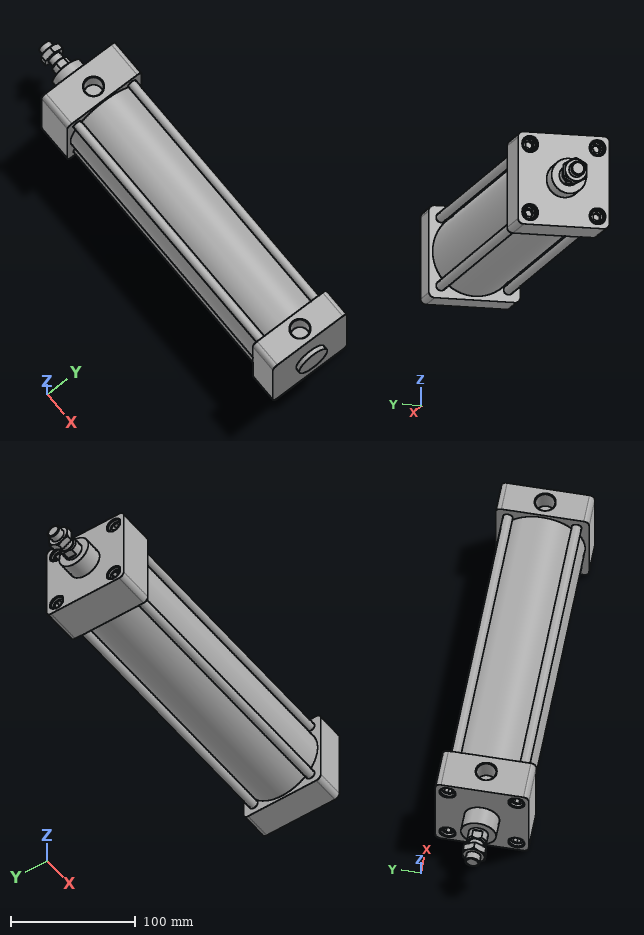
import cadquery as cq
import math


rod_tip_x = 0.0
overall_length = 346.0
shoulder_x = 19.0
front_boss_x = 28.5
front_cap_x = 44.0
front_cap_length = 33.5
rear_cap_length = 26.0
rear_boss_length = 4.0
tube_start_x = front_cap_x + front_cap_length
rear_boss_x = overall_length - rear_boss_length
rear_cap_x = rear_boss_x - rear_cap_length

cap_side = 76.0
cap_corner_radius = 4.5
boss_diameter = 28.7
port_diameter = 16.0
port_mouth_diameter = 17.3
port_chamfer = (port_mouth_diameter - port_diameter) / 2
port_depth = 17.3
front_port_inset = 14.2
front_port_x = tube_start_x - front_port_inset
rear_port_x = rear_cap_x + rear_cap_length / 2

tube_outer_diameter = 70.0
tube_bore = 63.5

tie_rod_offset = 28.0
tie_rod_diameter = 8.0
tie_rod_grip = 17.3
head_diameter = 11.8
head_face_diameter = 9.7
head_chamfer = (head_diameter - head_face_diameter) / 2
head_length = 8.0
head_recess = 2.5
counterbore_mouth_diameter = 13.5
counterbore_chamfer = (counterbore_mouth_diameter - head_diameter) / 2
hex_socket_width = 6.2
hex_socket_depth = 4.0
head_x = front_cap_x + head_recess
head_seat_x = head_x + head_length
tie_rod_end_x = rear_cap_x + tie_rod_grip

rod_diameter = 16.0
thread_diameter = 11.8
thread_tip_diameter = 9.7
thread_chamfer_width = (thread_diameter - thread_tip_diameter) / 2
thread_chamfer_length = 0.5
shoulder_face_diameter = 13.5
shoulder_chamfer = (rod_diameter - shoulder_face_diameter) / 2
wrench_flat_width = 14.0
wrench_flat_end_x = 26.3

nut_x = 6.5
nut_thickness = 6.2
nut_width = 18.0
nut_face_diameter = 18.0
nut_chamfer_angle = 30.0


def cylinder(start_x, end_x, diameter, y=0.0, z=0.0):
    """Solid cylinder parallel to X."""
    return (
        cq.Workplane("YZ", origin=(start_x, y, z))
        .circle(diameter / 2)
        .extrude(end_x - start_x)
    )


def hex_prism(start_x, end_x, width, y=0.0, z=0.0, turn=0.0):
    """Hexagonal prism along X; with no turn, two of its flats face +Y and -Y."""
    corner_diameter = width / math.cos(math.radians(30))
    return (
        cq.Workplane("YZ", origin=(start_x, y, z))
        .transformed(rotate=(0, 0, 30 + turn))
        .polygon(6, corner_diameter)
        .extrude(end_x - start_x)
    )


def tie_rod_places():
    """Centre (y, z) and turn in degrees of each tie rod, in order around the cylinder axis."""
    radius = tie_rod_offset * math.sqrt(2)
    places = []
    for quarter in range(4):
        angle = math.radians(45 + 90 * quarter)
        places.append((radius * math.cos(angle), radius * math.sin(angle), 90 * quarter))
    return places


def cap_block(start_x, length):
    """Square block with rounded long edges."""
    return (
        cq.Workplane("YZ", origin=(start_x, 0, 0))
        .rect(cap_side, cap_side)
        .extrude(length)
        .edges("|X")
        .fillet(cap_corner_radius)
    )


def port(center_x):
    """Cutter for a blind port with a chamfered mouth in the top face of a cap."""
    top = cq.Workplane("XY", origin=(center_x, 0, cap_side / 2))
    bore = top.circle(port_diameter / 2).extrude(-port_depth)
    mouth = cq.Solid.makeCone(
        port_diameter / 2,
        port_mouth_diameter / 2,
        port_chamfer,
        pnt=cq.Vector(center_x, 0, cap_side / 2 - port_chamfer),
    )
    return bore.union(cq.Workplane(mouth))


def counterbore(y, z):
    """Cutter for a screw head, widening to a chamfered mouth in the front face."""
    bore = cylinder(front_cap_x, head_seat_x, head_diameter, y, z)
    mouth = cq.Solid.makeCone(
        counterbore_mouth_diameter / 2,
        head_diameter / 2,
        counterbore_chamfer,
        pnt=cq.Vector(front_cap_x, y, z),
        dir=cq.Vector(1, 0, 0),
    )
    return bore.union(cq.Workplane(mouth))


def make_front_cap():
    """Cap with the rod boss, screw counterbores and a port."""
    cap = cap_block(front_cap_x, front_cap_length)
    cap = cap.union(cylinder(front_boss_x, front_cap_x, boss_diameter))
    cap = cap.cut(cylinder(front_boss_x, tube_start_x, rod_diameter))
    for y, z, _ in tie_rod_places():
        cap = cap.cut(counterbore(y, z))
        cap = cap.cut(cylinder(head_seat_x, tube_start_x, tie_rod_diameter, y, z))
    return cap.cut(port(front_port_x))


def make_rear_cap():
    """Cap with a low boss, blind tie rod holes and a port."""
    cap = cap_block(rear_cap_x, rear_cap_length)
    cap = cap.union(cylinder(rear_boss_x, overall_length, boss_diameter))
    for y, z, _ in tie_rod_places():
        cap = cap.cut(cylinder(rear_cap_x, tie_rod_end_x, tie_rod_diameter, y, z))
    return cap.cut(port(rear_port_x))


def make_tube():
    """Plain barrel clamped between the caps."""
    tube = cylinder(tube_start_x, rear_cap_x, tube_outer_diameter)
    return tube.cut(cylinder(tube_start_x, rear_cap_x, tube_bore))


def make_tie_rod(y, z, turn):
    """Long socket-head screw that ends inside the rear cap."""
    head = cylinder(head_x, head_seat_x, head_diameter, y, z).faces("<X").chamfer(head_chamfer)
    shank = cylinder(head_seat_x, tie_rod_end_x, tie_rod_diameter, y, z)
    socket = hex_prism(head_x, head_x + hex_socket_depth, hex_socket_width, y, z, turn)
    return head.union(shank).cut(socket)


def make_piston_rod():
    """Rod with a threaded tip and two wrench flats behind the shoulder."""
    thread = cylinder(rod_tip_x, shoulder_x, thread_diameter)
    thread = thread.faces("<X").chamfer(thread_chamfer_length, thread_chamfer_width)
    shank = cylinder(shoulder_x, tube_start_x, rod_diameter)
    shank = shank.faces("<X").chamfer(shoulder_chamfer)
    flats_length = wrench_flat_end_x - shoulder_x
    flats_middle_x = shoulder_x + flats_length / 2
    cutter = cq.Workplane("XY").box(flats_length, rod_diameter, rod_diameter)
    cutter_height = (wrench_flat_width + rod_diameter) / 2
    for side in (1, -1):
        shank = shank.cut(cutter.translate((flats_middle_x, 0, side * cutter_height)))
    return thread.union(shank)


def make_lock_nut():
    """Hexagon nut whose corners are turned down to a cone on the outer face."""
    nut_end_x = nut_x + nut_thickness
    nut = hex_prism(nut_x, nut_end_x, nut_width)
    spread = nut_thickness / math.tan(math.radians(nut_chamfer_angle))
    cone = cq.Solid.makeCone(
        nut_face_diameter / 2,
        nut_face_diameter / 2 + spread,
        nut_thickness,
        pnt=cq.Vector(nut_x, 0, 0),
        dir=cq.Vector(1, 0, 0),
    )
    nut = nut.intersect(cq.Workplane(cone))
    return nut.cut(cylinder(nut_x, nut_end_x, thread_diameter))


front_cap = make_front_cap()
rear_cap = make_rear_cap()
tube = make_tube()
piston_rod = make_piston_rod()
lock_nut = make_lock_nut()
tie_rods = [make_tie_rod(y, z, turn) for y, z, turn in tie_rod_places()]

result = cq.Compound.makeCompound(
    [
        front_cap.val(),
        rear_cap.val(),
        tube.val(),
        piston_rod.val(),
        lock_nut.val(),
        *[tie_rod.val() for tie_rod in tie_rods],
    ]
)